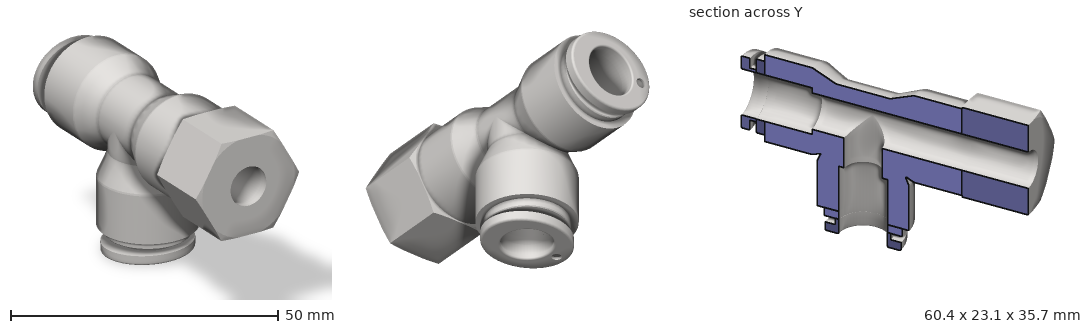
import cadquery as cq
import math


ARM_REACH = 25.7
BODY_END = 20.7
RING_END = 22.45
WAIST_END = 5.7
SHOULDER = 10.7

BODY_DIAMETER = 19.4
WAIST_DIAMETER = 15.1
FLOW_BORE = 8.0
TUBE_BORE = 10.2
TUBE_STOP = SHOULDER
BLEND_RADIUS = 0.95

RING_DIAMETER = 16.5
RING_CHAMFER = 0.2

COLLAR_BORE = 10.15
NECK_DIAMETER = 11.7
FLANGE_WIDTH = 18.5
FLANGE_HEIGHT = 16.05
FLANGE_THICKNESS = 1.95
FLANGE_ROUND = 0.4
MOUTH_ROUND = 0.35
DIMPLE_DIAMETER = 2.0
DIMPLE_OFFSET = 7.0
DIMPLE_DEPTH = 0.6

OVERALL_LENGTH = 60.4
HEX_ACROSS_FLATS = 20.0
HEX_ACROSS_CORNERS = HEX_ACROSS_FLATS / math.cos(math.radians(30))
HEX_FACE_DIAMETER = 20.55
HEX_CHAMFER_LENGTH = 0.35

RIGHT = 90
LEFT = -90
DOWN = 180
TUBE_ARMS = (LEFT, DOWN)


def turned(shape, angle):
    return shape.rotate((0, 0, 0), (0, 1, 0), angle)


def cylinder(diameter, start, end):
    return cq.Workplane("XY").workplane(offset=start).circle(diameter / 2).extrude(end - start)


def make_arm(blend_waist):
    """Outer shape of one arm of the tee: waist, cone and full-diameter socket, along +Z."""
    arm = (
        cq.Workplane("XZ")
        .lineTo(WAIST_DIAMETER / 2, 0)
        .lineTo(WAIST_DIAMETER / 2, WAIST_END)
        .lineTo(BODY_DIAMETER / 2, SHOULDER)
        .lineTo(BODY_DIAMETER / 2, BODY_END)
        .lineTo(0, BODY_END)
        .close()
        .revolve(360, (0, 0, 0), (0, 1, 0))
    )
    blended_edges = [(BODY_DIAMETER / 2, 0, SHOULDER)]
    if blend_waist:
        blended_edges.append((WAIST_DIAMETER / 2, 0, WAIST_END))
    for point_on_edge in blended_edges:
        edge_finder = cq.selectors.NearestToPointSelector(point_on_edge)
        arm = arm.edges("%CIRCLE").edges(edge_finder).fillet(BLEND_RADIUS)
    return arm


def make_tee_body():
    body = turned(make_arm(blend_waist=True), RIGHT)
    body = body.union(turned(make_arm(blend_waist=True), LEFT))
    body = body.union(turned(make_arm(blend_waist=False), DOWN))
    for angle in (LEFT, RIGHT, DOWN):
        body = body.cut(turned(cylinder(FLOW_BORE, 0, BODY_END), angle))
    for angle in TUBE_ARMS:
        body = body.cut(turned(cylinder(TUBE_BORE, TUBE_STOP, BODY_END), angle))
    return body


def make_retaining_ring():
    ring = cylinder(RING_DIAMETER, BODY_END, RING_END).faces(">Z").edges().chamfer(RING_CHAMFER)
    return ring.cut(cylinder(TUBE_BORE, BODY_END, RING_END))


def make_release_collar():
    """Round neck under an oval flange, bored for the tube, with a dimple in the outer face."""
    flange_start = ARM_REACH - FLANGE_THICKNESS
    flange = (
        cq.Workplane("XY")
        .workplane(offset=flange_start)
        .ellipse(FLANGE_HEIGHT / 2, FLANGE_WIDTH / 2)
        .extrude(FLANGE_THICKNESS)
        .faces(">Z")
        .edges()
        .fillet(FLANGE_ROUND)
    )
    collar = flange.union(cylinder(NECK_DIAMETER, RING_END, flange_start))
    collar = collar.cut(cylinder(COLLAR_BORE, RING_END, ARM_REACH))
    mouth_edge = cq.selectors.RadiusNthSelector(0)
    collar = collar.faces(">Z").edges("%CIRCLE").edges(mouth_edge).fillet(MOUTH_ROUND)
    dimple = cylinder(DIMPLE_DIAMETER, ARM_REACH - DIMPLE_DEPTH, ARM_REACH)
    return collar.cut(dimple.translate((0, -DIMPLE_OFFSET, 0)))


def make_hex_end():
    """Hexagon with two flats facing +Z and -Z and its corners turned to a cone at both ends."""
    length = OVERALL_LENGTH - ARM_REACH - BODY_END
    corner_drop = (HEX_ACROSS_CORNERS - HEX_FACE_DIAMETER) / 2
    hexagon = (
        cq.Workplane("YZ")
        .workplane(offset=BODY_END)
        .polygon(6, HEX_ACROSS_CORNERS)
        .extrude(length)
    )
    turning = (
        cylinder(HEX_ACROSS_CORNERS, BODY_END, BODY_END + length)
        .edges("%CIRCLE")
        .chamfer(HEX_CHAMFER_LENGTH, corner_drop)
    )
    bore = cylinder(FLOW_BORE, BODY_END, BODY_END + length)
    return hexagon.intersect(turned(turning, RIGHT)).cut(turned(bore, RIGHT))


tee_body = make_tee_body()
hex_end = make_hex_end()
retaining_rings = [turned(make_retaining_ring(), angle) for angle in TUBE_ARMS]
release_collars = [turned(make_release_collar(), angle) for angle in TUBE_ARMS]

result = cq.Compound.makeCompound(
    [
        tee_body.val(),
        hex_end.val(),
        *[ring.val() for ring in retaining_rings],
        *[collar.val() for collar in release_collars],
    ]
)